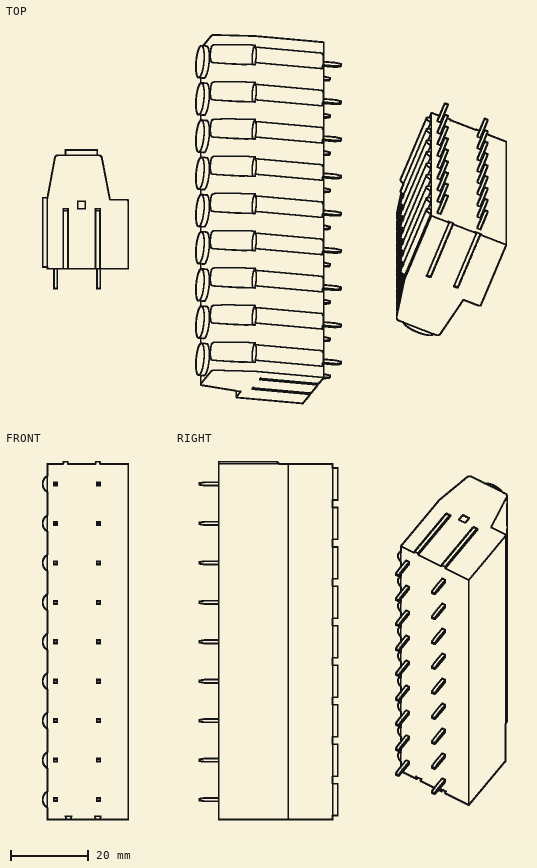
import cadquery as cq


pole_count = 9
pole_row_length = 81.3
pole_pitch = pole_row_length / (pole_count - 1)

housing_width = 20.8
housing_depth = 29.3
housing_length = 91.6
wire_shoulder_y = 18.3
back_shoulder_x = 16.1
back_shoulder_y = 17.9
crown_left_x = 2.0
crown_right_x = 13.9
crown_left_round = 0.9
crown_right_round = 0.9
back_corner_round = 0.5

screw_diameter = 8.3
screw_height = 1.4
screw_x = 8.8

pin_xs = (2.1, 13.2)
pin_size = 0.9
pin_length = 5.1
pin_tip_length = 1.5
pin_tip_thickness = 0.5

bar_width = 4.2
bar_height = 1.2
bar_flat = 0.8
bar_start_y = 0.5

flute_radius = 2.7
flute_crown_depth = 1.6
flute_shoulder_depth = 2.95
flute_overshoot = 7.4

rib_xs = (4.7, 13.0)
rib_top_width = 1.1
rib_foot_width = 1.3
rib_height = 0.55
rib_length = 15.5
rib_end_chamfer = 0.5
groove_xs = (5.4, 13.0)
groove_mouth_width = 1.0
groove_floor_width = 1.6
groove_depth = 0.8
groove_length = rib_length

recess_size = 1.9
recess_x = 8.8
recess_y = 15.5
recess_sill = 0.3
recess_sill_depth = 0.1
recess_depth = 0.2

first_pole_z = (housing_length - pole_row_length) / 2
pole_zs = [first_pole_z + i * pole_pitch for i in range(pole_count)]


def make_housing():
    body = (
        cq.Workplane("XY")
        .polyline(
            [
                (0, 0),
                (housing_width, 0),
                (housing_width, back_shoulder_y),
                (back_shoulder_x, back_shoulder_y),
                (crown_right_x, housing_depth),
                (crown_left_x, housing_depth),
                (0, wire_shoulder_y),
            ]
        )
        .close()
        .extrude(housing_length)
    )
    for corner, radius in (
        ((crown_left_x, housing_depth), crown_left_round),
        ((crown_right_x, housing_depth), crown_right_round),
        ((housing_width, back_shoulder_y), back_corner_round),
    ):
        corner_edge = cq.selectors.NearestToPointSelector((*corner, housing_length / 2))
        body = body.edges(corner_edge).fillet(radius)
    return body


def make_flute(z):
    """Round cutter that leans with the sloping face and deepens toward the shoulder."""
    shoulder_axis = cq.Vector(flute_shoulder_depth - flute_radius, wire_shoulder_y, z)
    crown_axis = cq.Vector(crown_left_x + flute_crown_depth - flute_radius, housing_depth, z)
    rise = crown_axis - shoulder_axis
    overshoot = rise.normalized() * flute_overshoot
    cutter_length = rise.Length + 2 * overshoot.Length
    cylinder = cq.Solid.makeCylinder(flute_radius, cutter_length, shoulder_axis - overshoot, rise)
    below_shoulder = (
        cq.Workplane("XZ", origin=(0, wire_shoulder_y, z))
        .rect(housing_width, pole_pitch)
        .extrude(housing_depth)
    )
    return cq.Workplane(cylinder).cut(below_shoulder)


def make_bar(z):
    """Bar of round section with a narrow flat along its crest."""
    half_width = bar_width / 2
    half_flat = bar_flat / 2
    centre_offset = (half_width**2 - half_flat**2 - bar_height**2) / (2 * bar_height)
    radius = (half_width**2 + centre_offset**2) ** 0.5
    section = (
        cq.Workplane("XZ", origin=(0, bar_start_y, z))
        .moveTo(0, -half_width)
        .radiusArc((-bar_height, -half_flat), radius)
        .lineTo(-bar_height, half_flat)
        .radiusArc((0, half_width), radius)
        .close()
    )
    return section.extrude(bar_start_y - wire_shoulder_y)


def make_pin(x, z):
    """Square pin whose tip tapers in Z only."""
    half = pin_size / 2
    half_tip = pin_tip_thickness / 2
    taper_y = pin_tip_length - pin_length
    return (
        cq.Workplane("YZ", origin=(x - half, 0, z))
        .polyline(
            [
                (0, -half),
                (taper_y, -half),
                (-pin_length, -half_tip),
                (-pin_length, half_tip),
                (taper_y, half),
                (0, half),
            ]
        )
        .close()
        .extrude(pin_size)
    )


def make_screw(z):
    return (
        cq.Workplane("XZ", origin=(screw_x, housing_depth, z))
        .circle(screw_diameter / 2)
        .extrude(-screw_height)
    )


def make_trapezoid_bar(x, z, lower_width, upper_width, height, length):
    """Straight bar of trapezoid section running from the board face along Y."""
    return (
        cq.Workplane("XZ", origin=(x, 0, z))
        .polyline(
            [
                (-lower_width / 2, 0),
                (lower_width / 2, 0),
                (upper_width / 2, height),
                (-upper_width / 2, height),
            ]
        )
        .close()
        .extrude(-length)
    )


def make_rib(x):
    rib = make_trapezoid_bar(x, housing_length, rib_foot_width, rib_top_width, rib_height, rib_length)
    return rib.faces(">Y").edges(">Z").chamfer(rib_end_chamfer)


def make_groove(x):
    """Dovetail groove, wider at its floor than at its mouth."""
    return make_trapezoid_bar(
        x, 0, groove_mouth_width, groove_floor_width, groove_depth, groove_length
    )


def make_recess():
    """Recess with a short sloping sill and a floor that falls away from the board face."""
    return (
        cq.Workplane("YZ", origin=(recess_x - recess_size / 2, recess_y, housing_length))
        .polyline(
            [
                (0, 0),
                (recess_sill, -recess_sill_depth),
                (recess_size, -recess_depth),
                (recess_size, 0),
            ]
        )
        .close()
        .extrude(recess_size)
    )


result = make_housing()
for pole_z in pole_zs:
    result = result.cut(make_flute(pole_z))
    result = result.union(make_bar(pole_z)).union(make_screw(pole_z))
    for pin_x in pin_xs:
        result = result.union(make_pin(pin_x, pole_z))
for rib_x in rib_xs:
    result = result.union(make_rib(rib_x))
for groove_x in groove_xs:
    result = result.cut(make_groove(groove_x))
result = result.cut(make_recess())